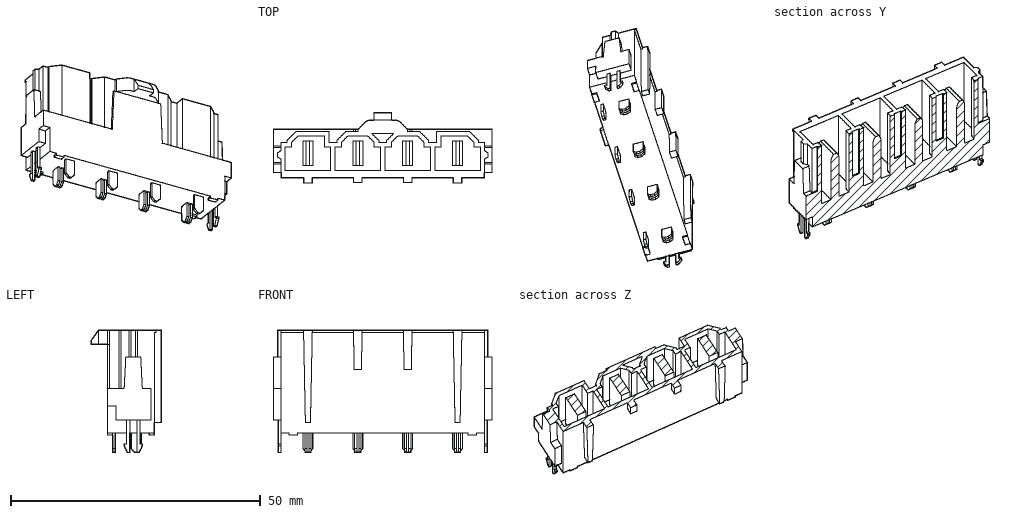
import cadquery as cq
import math


overall_length = 43.8
pitch = 10.0
cavity_count = 4
wall = 0.9
housing_height = 20.65
bottom_reach = -3.9

cavity_width = 9.1
cavity_front_y = 1.05
cavity_shoulder_y = 5.8
cavity_chamfer_y = 6.7
cavity_back_y = 8.0
cavity_step = 1.25
cavity_floor_z = 5.25

half_length = 20.38
base_depth = 9.38
base_height = 9.0
lip_overhang = 0.4
lip_height = 0.5

rib_width = 1.75
rib_side_slope = 0.02
outer_rib_reach = 1.45
outer_rib_bottom_z = 2.1
inner_rib_reach = 1.35
inner_rib_bottom_z = 12.7

boss_bottom_z = 17.8
boss_half_width = 4.9
boss_back_y = 11.17
boss_corner_radius = 1.5
hook_width = 3.6
hook_back_y = 12.65
hook_lip_height = 0.75
support_bottom_half = 5.83
support_top_half = 5.45

end_center_y = 4.2
block_front_y = 0.65
block_bottom_z = 2.65
block_notch_y = 7.62
block_notch_z = 5.45
tab_top_z = 15.3
tab_bottom_width = 3.65
tab_top_width = 3.0
key_width = 1.7
key_tip_width = 0.85
key_depth = 0.65

clip_thickness = 0.55
clip_outer_half = 1.35
clip_inner_half = 0.7
clip_tip_half = 1.2
barb_half = 1.85
barb_top_z = -2.15
barb_edge_z = -2.55

blade_front_y = 2.1
blade_back_y = 7.0
blade_width = 2.0
blade_top_z = 16.9
blade_tip_width = 0.7
blade_tip_radius = 2.2
tail_bottom_z = -3.85
tail_taper_height = 0.75
rear_tail_width = 2.0
rear_tail_y = 7.8
rear_tail_thickness = 0.53
rear_tail_taper = 0.75
front_tail_y = 2.6
front_tail_depth = 2.05
front_tail_width = 1.25
front_tail_taper = 0.65
front_tail_slot = 0.4

foot_center_x = 17.92
foot_width = 1.75
foot_depth = 1.05
foot_height = 0.4

half_cavity = cavity_width / 2
centers = [(i - (cavity_count - 1) / 2) * pitch for i in range(cavity_count)]
shell_back_y = cavity_back_y + wall
shell_shoulder_y = cavity_shoulder_y + wall
corner_shift = wall * math.tan(math.radians(22.5))


def box(x0, x1, y0, y1, z0, z1):
    return cq.Workplane("XY").box(x1 - x0, y1 - y0, z1 - z0, centered=False).translate((x0, y0, z0))


def prism_z(points, z0, z1):
    return cq.Workplane("XY").workplane(offset=z0).polyline(points).close().extrude(z1 - z0)


def prism_x(points, x0, x1):
    """Extrude a (y, z) outline along X."""
    return cq.Workplane("YZ").workplane(offset=x0).polyline(points).close().extrude(x1 - x0)


def prism_y(points, y0, y1):
    """Extrude an (x, z) outline along Y."""
    return cq.Workplane("XZ").workplane(offset=-y1).polyline(points).close().extrude(y1 - y0)


def mirrored(points):
    """Complete a half outline with its mirror image across the first coordinate."""
    return points + [(-u, v) for u, v in reversed(points)]


def cavity_hump(center, square_side, shoulder_y, back_y, chamfer_y, growth):
    """Upper outline of a cell; square_side (-1, +1 or 0) picks a corner left unchamfered."""
    half = half_cavity - cavity_step + growth
    chamfer = back_y - chamfer_y
    points = []
    for side in (-1, 1):
        corner = [(center + side * half, shoulder_y)]
        if side == square_side:
            corner.append((center + side * half, back_y))
        else:
            corner.append((center + side * half, chamfer_y))
            corner.append((center + side * (half - chamfer), back_y))
        points += corner if side < 0 else corner[::-1]
    return points


def square_side_of(index):
    """The end cells keep a square corner on their inner side."""
    if index == 0:
        return 1
    if index == cavity_count - 1:
        return -1
    return 0


def shell():
    body = box(-half_length, half_length, 0, base_depth, 0, base_height)
    body = body.union(box(-half_length, half_length, 0, shell_shoulder_y, 0, housing_height))
    lip_z = housing_height - lip_height
    body = body.union(box(-half_length, half_length, -lip_overhang, 0, lip_z, housing_height))
    for index, center in enumerate(centers):
        outline = cavity_hump(center, square_side_of(index), shell_shoulder_y, shell_back_y,
                              cavity_chamfer_y + corner_shift, wall)
        body = body.union(prism_z(outline, 0, housing_height))
    return body


def cavity(index):
    center = centers[index]
    outline = cavity_hump(center, square_side_of(index), cavity_shoulder_y, cavity_back_y,
                          cavity_chamfer_y, 0)
    left, right = center - half_cavity, center + half_cavity
    outline = [(left, cavity_front_y), (left, cavity_shoulder_y)] + outline
    outline += [(right, cavity_shoulder_y), (right, cavity_front_y)]
    return prism_z(outline, cavity_floor_z, housing_height)


def front_rib(center, reach, bottom_z):
    top_half = rib_width / 2
    bottom_half = top_half - rib_side_slope * (housing_height - bottom_z)
    outline = mirrored([(bottom_half, bottom_z), (top_half, housing_height)])
    return prism_y(outline, -reach, 0).translate((center, 0, 0))


def latch():
    web_y = base_depth - wall
    boss_slope_x = boss_half_width - (boss_back_y - base_depth)
    outline = mirrored([
        (boss_half_width, web_y),
        (boss_half_width, base_depth),
        (boss_slope_x, boss_back_y),
    ])
    boss = prism_z(outline, boss_bottom_z, housing_height)
    boss = boss.edges("|Z and >Y").fillet(boss_corner_radius)
    panel = mirrored([(support_bottom_half, base_height), (support_top_half, boss_bottom_z)])
    hook = [
        (boss_back_y, boss_bottom_z),
        (hook_back_y, boss_bottom_z),
        (hook_back_y, boss_bottom_z + hook_lip_height),
        (boss_back_y, housing_height),
    ]
    boss = boss.union(prism_y(panel, web_y, base_depth))
    return boss.union(prism_x(hook, -hook_width / 2, hook_width / 2))


def end_features():
    """End block with its tab, key and board clip, on the +X end."""
    outer_x = overall_length / 2
    block = [
        (block_front_y, block_bottom_z),
        (block_notch_y, block_bottom_z),
        (block_notch_y, block_notch_z),
        (base_depth, block_notch_z),
        (base_depth, base_height),
        (block_front_y, base_height),
    ]
    tab = mirrored([(tab_bottom_width / 2, base_height), (tab_top_width / 2, tab_top_z)])
    key = [
        (half_length, end_center_y - key_width / 2),
        (half_length + key_depth, end_center_y - key_tip_width / 2),
        (half_length + key_depth, end_center_y + key_tip_width / 2),
        (half_length, end_center_y + key_width / 2),
    ]
    end = prism_x(block, half_length, outer_x)
    end = end.union(prism_x(tab, half_length, outer_x).translate((0, end_center_y, 0)))
    end = end.union(prism_z(key, base_height, housing_height))
    for side in (-1, 1):
        leg = [
            (side * clip_inner_half, block_bottom_z),
            (side * clip_outer_half, block_bottom_z),
            (side * clip_outer_half, barb_top_z),
            (side * barb_half, barb_top_z),
            (side * barb_half, barb_edge_z),
            (side * clip_tip_half, bottom_reach),
            (side * clip_inner_half, bottom_reach),
        ]
        clip = prism_x(leg, half_length, half_length + clip_thickness)
        end = end.union(clip.translate((0, end_center_y, 0)))
    return end


def tail_outline(width, taper):
    half = width / 2
    return mirrored([(half, 0), (half, tail_bottom_z + tail_taper_height), (half - taper, tail_bottom_z)])


def contact_blade():
    """Flat blade whose sides curve in to a narrow flat tip; the arcs start tangent to the sides."""
    half = blade_width / 2
    half_tip = blade_tip_width / 2
    arc_center_x = half - blade_tip_radius
    arc_angle = math.acos((half_tip - arc_center_x) / blade_tip_radius)
    arc_start_z = blade_top_z - blade_tip_radius * math.sin(arc_angle)
    mid_x = arc_center_x + blade_tip_radius * math.cos(arc_angle / 2)
    mid_z = arc_start_z + blade_tip_radius * math.sin(arc_angle / 2)
    outline = (
        cq.Workplane("XZ").workplane(offset=-blade_back_y)
        .moveTo(-half, cavity_floor_z)
        .lineTo(half, cavity_floor_z)
        .lineTo(half, arc_start_z)
        .threePointArc((mid_x, mid_z), (half_tip, blade_top_z))
        .lineTo(-half_tip, blade_top_z)
        .threePointArc((-mid_x, mid_z), (-half, arc_start_z))
        .close()
    )
    return outline.extrude(blade_back_y - blade_front_y)


def contact():
    rear = prism_y(tail_outline(rear_tail_width, rear_tail_taper), rear_tail_y,
                   rear_tail_y + rear_tail_thickness)
    half_front = front_tail_width / 2
    front = prism_x(tail_outline(front_tail_depth, front_tail_taper), -half_front, half_front)
    half_slot = front_tail_slot / 2
    slot = box(-half_slot, half_slot, -front_tail_depth, front_tail_depth, tail_bottom_z, 0)
    front = front.cut(slot).translate((0, front_tail_y + front_tail_depth / 2, 0))
    return contact_blade().union(rear).union(front)


result = shell().union(latch())
for index in range(cavity_count):
    result = result.cut(cavity(index))

for index, center in enumerate(centers):
    is_end_cell = index in (0, cavity_count - 1)
    if is_end_cell:
        rib = front_rib(center, outer_rib_reach, outer_rib_bottom_z)
    else:
        rib = front_rib(center, inner_rib_reach, inner_rib_bottom_z)
    result = result.union(rib).union(contact().translate((center, 0, 0)))

right_end = end_features()
result = result.union(right_end).union(right_end.mirror("YZ"))

for foot_x in (-foot_center_x, foot_center_x):
    for foot_y in (0, base_depth - foot_depth):
        foot = box(foot_x - foot_width / 2, foot_x + foot_width / 2,
                   foot_y, foot_y + foot_depth, -foot_height, 0)
        result = result.union(foot)